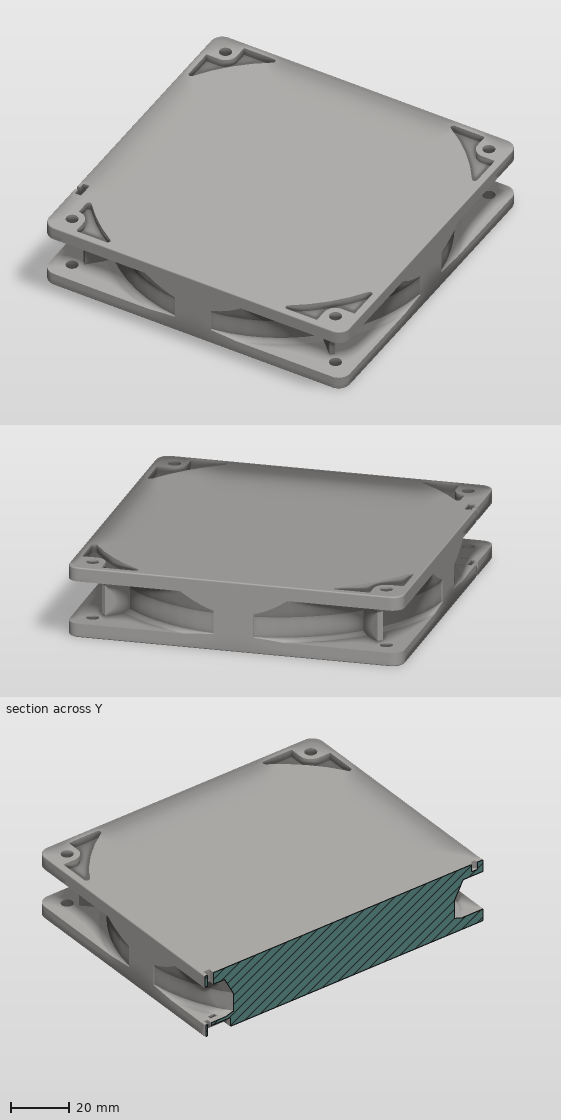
import cadquery as cq
import math

side = 120.0
height = 25.4
half_side = side / 2
corner_radius = 4.5
edge_round = 0.5
flange_thickness = 5.0
upper_flange_bottom = height - flange_thickness
gap_height = height - 2 * flange_thickness

housing_radius = 60.0
ledge_radius = 62.5
ledge_height = 1.0
flare_radius = 63.0
flare_start_z = 13.4
flat_pad_width = 14.3

rib_width = 2.0
rib_reach = 70.0

hole_offset = 52.5
hole_diameter = 4.5

pocket_depth = 3.0
pocket_outer_offset = 57.5
pocket_inner_radius = 66.0
pocket_tip_radius = 1.0
boss_radius = 4.5

slot_y = -37.0
slot_neck_width = 1.5
slot_head_front_x = -58.75
upper_head_back_x = -56.25
upper_head_width = 6.0
lower_head_back_x = -57.25
lower_head_width = 5.5
neck_chamfer = 0.5

cable_pocket_roof_z = 3.6
cable_pocket_inner_x = -49.0
cable_hole_length = 2.8
cable_hole_width = 1.5
cable_hole_x = -54.5
cable_hole_spacing = 7.2
cable_pocket_width = cable_hole_spacing + cable_hole_width


def box_between(x_min, x_max, y_min, y_max, z_min, z_max):
    """Axis-aligned box given by its limits."""
    return (
        cq.Workplane("XY", origin=(0, 0, z_min))
        .moveTo(x_min, y_min)
        .lineTo(x_max, y_min)
        .lineTo(x_max, y_max)
        .lineTo(x_min, y_max)
        .close()
        .extrude(z_max - z_min)
    )


def make_frame():
    """Full square block with rounded corners and rounded top and bottom edges."""
    block = cq.Workplane("XY").rect(side, side).extrude(height)
    block = block.edges("|Z").fillet(corner_radius)
    return block.faces("<Z or >Z").edges().fillet(edge_round)


def make_gap_core():
    """Everything that stays between the flanges: housing, flat pads and diagonal ribs."""
    core = (
        cq.Workplane("XZ")
        .moveTo(0, flange_thickness)
        .lineTo(ledge_radius, flange_thickness)
        .lineTo(housing_radius, flange_thickness + ledge_height)
        .lineTo(housing_radius, flare_start_z)
        .lineTo(flare_radius, upper_flange_bottom)
        .lineTo(0, upper_flange_bottom)
        .close()
        .revolve(360, (0, 0, 0), (0, 1, 0))
    )
    gap_plane = cq.Workplane("XY", origin=(0, 0, flange_thickness))
    for angle in (0, 90):
        pad = gap_plane.rect(side, flat_pad_width).extrude(gap_height)
        rib = gap_plane.rect(2 * rib_reach, rib_width).extrude(gap_height)
        core = core.union(pad.rotate((0, 0, 0), (0, 0, 1), angle))
        core = core.union(rib.rotate((0, 0, 0), (0, 0, 1), angle + 45))
    return core


def open_gap(frame):
    """Clear the space between the flanges around the core."""
    gap = cq.Workplane("XY", origin=(0, 0, flange_thickness)).rect(2 * side, 2 * side).extrude(gap_height)
    return frame.cut(gap.cut(make_gap_core()))


def make_mounting_holes():
    spacing = 2 * hole_offset
    return (
        cq.Workplane("XY")
        .rect(spacing, spacing, forConstruction=True)
        .vertices()
        .circle(hole_diameter / 2)
        .extrude(height)
    )


def make_corner_pocket(x_limit):
    """Pocket in the +X +Y corner, bounded by the outer offset in Y and by x_limit in X."""
    floor_z = height - pocket_depth
    pocket = box_between(0, x_limit, 0, pocket_outer_offset, floor_z, height)
    pocket = pocket.cut(
        cq.Workplane("XY", origin=(0, 0, floor_z)).circle(pocket_inner_radius).extrude(pocket_depth)
    )
    tips = [
        (x_limit, math.sqrt(pocket_inner_radius**2 - x_limit**2)),
        (math.sqrt(pocket_inner_radius**2 - pocket_outer_offset**2), pocket_outer_offset),
    ]
    for x, y in tips:
        tip_edge = cq.selectors.NearestToPointSelector((x, y, floor_z + pocket_depth / 2))
        pocket = pocket.edges("|Z").edges(tip_edge).fillet(pocket_tip_radius)

    boss_edge = hole_offset - boss_radius
    boss = box_between(boss_edge, side, boss_edge, side, floor_z, height)
    boss = boss.edges("|Z and <X and <Y").fillet(boss_radius)
    return pocket.cut(boss)


def make_corner_pockets():
    """Four pockets; the one beside the cable slots stops short at the hole centre line."""
    full = make_corner_pocket(pocket_outer_offset)
    short = make_corner_pocket(hole_offset)
    pockets = full.union(full.mirror("YZ")).union(full.mirror("XZ"))
    return pockets.union(short.mirror("YZ").mirror("XZ"))


def make_t_slot(head_back_x, head_width, z_min, z_max):
    half_neck = slot_neck_width / 2
    neck = box_between(
        -half_side, slot_head_front_x, slot_y - half_neck, slot_y + half_neck, z_min, z_max
    )
    half_head = head_width / 2
    head = box_between(
        slot_head_front_x, head_back_x, slot_y - half_head, slot_y + half_head, z_min, z_max
    )
    return neck.union(head)


def make_neck_lead_in():
    """Wedge that widens the neck of the lower slot at the outer face."""
    mouth = slot_neck_width / 2 + neck_chamfer
    throat = slot_neck_width / 2
    return (
        cq.Workplane("XY")
        .polyline(
            [
                (-half_side, slot_y - mouth),
                (-half_side + neck_chamfer, slot_y - throat),
                (-half_side + neck_chamfer, slot_y + throat),
                (-half_side, slot_y + mouth),
            ]
        )
        .close()
        .extrude(flange_thickness)
    )


def make_cable_pocket():
    """Pocket from below, open to the head of the lower slot, with rectangular holes in its roof."""
    half_width = cable_pocket_width / 2
    pocket = box_between(
        lower_head_back_x,
        cable_pocket_inner_x,
        slot_y - half_width,
        slot_y + half_width,
        0,
        cable_pocket_roof_z,
    )
    for direction in (-1, 1):
        hole = (
            cq.Workplane("XY")
            .center(cable_hole_x, slot_y + direction * cable_hole_spacing / 2)
            .rect(cable_hole_length, cable_hole_width)
            .extrude(flange_thickness)
        )
        pocket = pocket.union(hole)
    return pocket


frame = open_gap(make_frame())
frame = frame.cut(make_mounting_holes())
frame = frame.cut(make_corner_pockets())
frame = frame.cut(make_t_slot(upper_head_back_x, upper_head_width, upper_flange_bottom, height))
frame = frame.cut(make_t_slot(lower_head_back_x, lower_head_width, 0, flange_thickness))
frame = frame.cut(make_neck_lead_in())
result = frame.cut(make_cable_pocket())